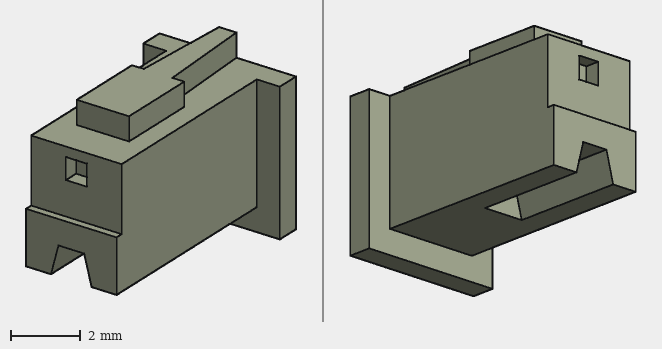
import cadquery as cq

length = 7.75

flange_width = 4.8
flange_height = 4.89
flange_thickness = 0.805
flange_overhang = 0.805

body_width = flange_width - 2 * flange_overhang
body_bottom = flange_overhang
body_height = flange_height - body_bottom

lip_depth = 0.255
lip_top = 2.65

notch_bottom_width = 1.425
notch_top_width = 0.9
notch_height = 1.0
notch_depth = length / 2

hole_size = 0.74
hole_center_z = 4.185
hole_depth = 0.5

overall_height = 5.7
latch_height = overall_height - flange_height
pad_width = 1.84
pad_front = 1.565
pad_back = 4.3
rib_front_width = 1.0
rib_back_width = 0.61


def box(width, y_front, y_back, z_bottom, height):
    """Block centred on X."""
    return (
        cq.Workplane("XY")
        .box(width, y_back - y_front, height, centered=(True, False, False))
        .translate((0, y_front, z_bottom))
    )


def trapezoid(start_width, end_width, start, end):
    """Corner points of a trapezoid that is symmetric about the second axis."""
    return [
        (-start_width / 2, start),
        (start_width / 2, start),
        (end_width / 2, end),
        (-end_width / 2, end),
    ]


flange = box(flange_width, length - flange_thickness, length, 0, flange_height)
body = box(body_width, lip_depth, length, body_bottom, body_height)
lip = box(body_width, 0, lip_depth, body_bottom, lip_top - body_bottom)

pad = box(pad_width, pad_front, pad_back, flange_height, latch_height)
rib = (
    cq.Workplane("XY", origin=(0, 0, flange_height))
    .polyline(trapezoid(rib_front_width, rib_back_width, pad_back, length))
    .close()
    .extrude(latch_height)
)

hole = box(hole_size, lip_depth, lip_depth + hole_depth, hole_center_z - hole_size / 2, hole_size)
notch = (
    cq.Workplane("XZ")
    .polyline(trapezoid(notch_bottom_width, notch_top_width, body_bottom, body_bottom + notch_height))
    .close()
    .extrude(-notch_depth)
)

result = flange.union(body).union(lip).union(pad).union(rib).cut(hole).cut(notch)